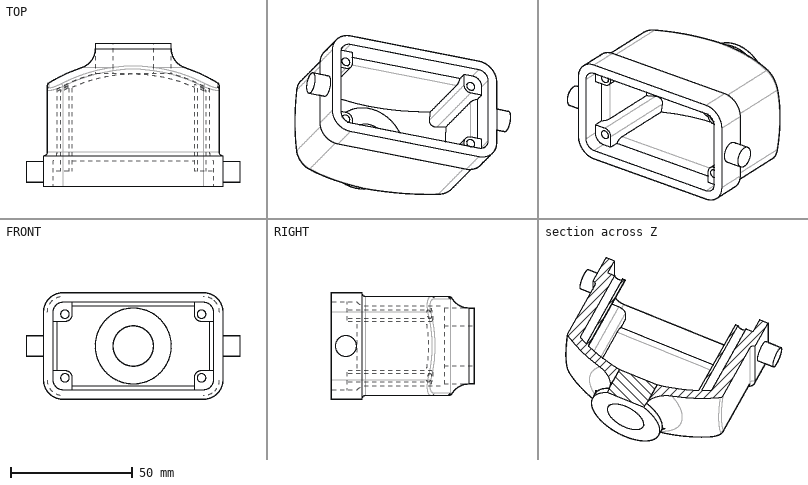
import cadquery as cq
import math


overall_width = 88.0
overall_depth = 59.0
wall = 4.0

flange_width = 74.0
flange_height = 44.0
flange_depth = 12.7
flange_corner = 8.1
shoulder = 1.6
shoulder_fillet = 1.5

peg_diameter = 8.6
peg_setback = 6.1

dome_radius = 66.9
dome_edge_fillet = 1.4
neck_fillet = 8.0
neck_end_setback = 56.7
neck_lip = 0.1

collar_diameter = 31.2
collar_bore = 16.5

cavity_flare = 4.9
cavity_flare_end = 14.3
flare_overrun = 0.9

post_size = 7.9
post_setback = 6.4
post_rounding = 3.0
screw_hole_diameter = 3.5

selection_margin = 0.1

hood_width = flange_width - 2 * shoulder
hood_height = flange_height - 2 * shoulder
hood_corner = flange_corner - shoulder
opening_width = flange_width - 2 * wall
opening_height = flange_height - 2 * wall
opening_corner = flange_corner - wall
cavity_width = hood_width - 2 * wall
cavity_height = hood_height - 2 * wall
cavity_corner = hood_corner - wall

collar_radius = collar_diameter / 2
neck_end_radius = collar_radius + neck_lip
neck_arc_radius = neck_end_radius + neck_fillet
dome_center = neck_end_setback - math.sqrt((dome_radius + neck_fillet)**2 - neck_arc_radius**2)
neck_base_radius = neck_arc_radius * dome_radius / (dome_radius + neck_fillet)
neck_base_setback = dome_center + math.sqrt(dome_radius**2 - neck_base_radius**2)
inner_dome_radius = dome_radius - wall
collar_inner_end = dome_center + math.sqrt(inner_dome_radius**2 - collar_radius**2)


def rounded_prism(width, height, corner, start, end):
    """Rounded rectangle in XZ, extruded along Y from start to end."""
    prism = cq.Workplane("XY").box(width, end - start, height).edges("|Y").fillet(corner)
    return prism.translate((0, (start + end) / 2, 0))


def y_cylinder(diameter, start, end, x=0.0, z=0.0):
    """Round bar along Y from start to end."""
    plane = cq.Workplane("XZ", origin=(x, start, z))
    return plane.circle(diameter / 2).extrude(start - end)


def dome(radius):
    """Full sphere about the common centre of the inner and outer dome surfaces."""
    return cq.Workplane("XY").sphere(radius).translate((0, dome_center, 0))


def make_back():
    """Turned shape of the housing back: spherical dome, tangent trumpet neck, flat neck end."""
    mouth_radius = math.sqrt(dome_radius**2 - dome_center**2)
    dome_point = dome_radius * math.sin(math.pi / 4)
    neck_turn = math.acos(neck_arc_radius / (dome_radius + neck_fillet))
    middle_radius = neck_arc_radius - neck_fillet * math.cos(neck_turn / 2)
    middle_setback = neck_end_setback - neck_fillet * math.sin(neck_turn / 2)
    return (
        cq.Workplane("XY")
        .lineTo(mouth_radius, 0)
        .threePointArc((dome_point, dome_center + dome_point), (neck_base_radius, neck_base_setback))
        .threePointArc((middle_radius, middle_setback), (neck_end_radius, neck_end_setback))
        .lineTo(0, neck_end_setback)
        .close()
        .revolve(360, (0, 0, 0), (0, 1, 0))
    )


def edges_at_depth(width, height, depth):
    """Selector for edges at one depth within a rectangle centred on the Y axis."""
    x = width / 2 + selection_margin
    z = height / 2 + selection_margin
    near = depth - selection_margin
    far = depth + selection_margin
    return cq.selectors.BoxSelector((-x, near, -z), (x, far, z), boundingbox=True)


def make_hood():
    """Hood block with the turned back, its long outer back edge rounded."""
    block = rounded_prism(hood_width, hood_height, hood_corner, 0, overall_depth)
    hood = block.intersect(make_back())
    return hood.edges("%CIRCLE").edges(">X").fillet(dome_edge_fillet)


def make_outer_shape():
    """Flange and hood as one block, with a concave fillet on the flange shoulder."""
    flange = rounded_prism(flange_width, flange_height, flange_corner, 0, flange_depth)
    hood_foot = edges_at_depth(hood_width, hood_height, flange_depth)
    return flange.union(make_hood()).edges(hood_foot).fillet(shoulder_fillet)


def make_cavity():
    """Hollow of the housing: mouth opening, flare, straight walls and inner dome."""
    ledge_setback = cavity_flare_end - cavity_flare
    growth = 2 * (cavity_flare + flare_overrun)
    mouth = rounded_prism(
        cavity_width + growth, cavity_height + growth, cavity_corner + growth / 2, 0, ledge_setback
    )
    straight = rounded_prism(cavity_width, cavity_height, cavity_corner, 0, overall_depth)
    junction = edges_at_depth(cavity_width, cavity_height, ledge_setback)
    flared = mouth.union(straight).edges(junction).fillet(cavity_flare)
    opening = rounded_prism(opening_width, opening_height, opening_corner, 0, overall_depth)
    return flared.intersect(opening).intersect(dome(inner_dome_radius))


def make_post(side_x, side_z):
    """Corner post: a square bar with its free edge rounded, running from its face to the back."""
    length = overall_depth - post_setback
    post = cq.Workplane("XY").box(post_size, length, post_size)
    free_edge = cq.selectors.NearestToPointSelector((-side_x * post_size, 0, -side_z * post_size))
    post = post.edges("|Y").edges(free_edge).fillet(post_rounding)
    x = side_x * (opening_width - post_size) / 2
    z = side_z * (opening_height - post_size) / 2
    return post.translate((x, post_setback + length / 2, z))


def make_screw_hole(side_x, side_z):
    """Screw hole on the axis of the post rounding, ending on the inner dome surface."""
    inset = post_size - post_rounding
    x = side_x * (opening_width / 2 - inset)
    z = side_z * (opening_height / 2 - inset)
    hole = y_cylinder(screw_hole_diameter, post_setback, overall_depth, x, z)
    return hole.intersect(dome(inner_dome_radius))


def make_peg(side):
    """Locking peg on one end wall of the flange."""
    root = flange_width / 2 - wall / 2
    plane = cq.Workplane("YZ", origin=(side * root, peg_setback, 0))
    return plane.circle(peg_diameter / 2).extrude(side * (overall_width / 2 - root))


def make_housing():
    """Hollow hood with corner posts, pegs and the seat for the collar."""
    cavity = make_cavity()
    for side_x in (-1, 1):
        for side_z in (-1, 1):
            cavity = cavity.cut(make_post(side_x, side_z)).union(make_screw_hole(side_x, side_z))
    housing = make_outer_shape().cut(cavity)
    for side in (-1, 1):
        housing = housing.union(make_peg(side))
    return housing.cut(y_cylinder(collar_diameter, collar_inner_end, overall_depth))


def make_collar():
    """Cable-entry collar: a plain tube seated in the back of the housing."""
    tube = y_cylinder(collar_diameter, collar_inner_end, overall_depth)
    return tube.cut(y_cylinder(collar_bore, collar_inner_end, overall_depth))


housing = make_housing()
collar = make_collar()

result = cq.Compound.makeCompound([housing.val(), collar.val()])